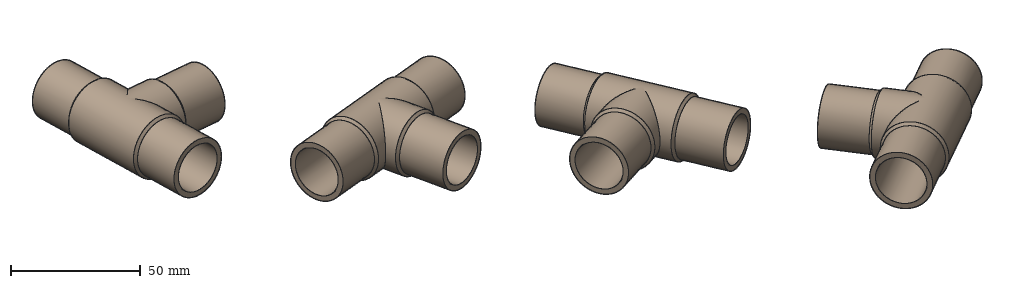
import cadquery as cq

run_length = 80.0
arm_length = run_length / 2
body_diameter = 27.3
spigot_diameter = 25.0
bore_diameter = 20.4
spigot_length = 20.6

shoulder = (body_diameter - spigot_diameter) / 2
body_reach = arm_length - spigot_length

run_end = cq.Plane(origin=(-arm_length, 0, 0), xDir=(0, 1, 0), normal=(1, 0, 0))
run_body_end = cq.Plane(origin=(-body_reach, 0, 0), xDir=(0, 1, 0), normal=(1, 0, 0))
branch_start = cq.Plane(origin=(0, 0, 0), xDir=(1, 0, 0), normal=(0, 1, 0))


def cylinder(plane, diameter, length):
    """Solid cylinder starting on the plane and following its normal."""
    return cq.Workplane(plane).circle(diameter / 2).extrude(length)


run_body = cylinder(run_body_end, body_diameter, 2 * body_reach).edges("%CIRCLE").chamfer(shoulder)
run = run_body.union(cylinder(run_end, spigot_diameter, run_length))

branch_body = cylinder(branch_start, body_diameter, body_reach).faces(">Y").edges().chamfer(shoulder)
branch = branch_body.union(cylinder(branch_start, spigot_diameter, arm_length))

run_bore = cylinder(run_end, bore_diameter, run_length)
branch_bore = cylinder(branch_start, bore_diameter, arm_length)

result = run.union(branch).cut(run_bore).cut(branch_bore)